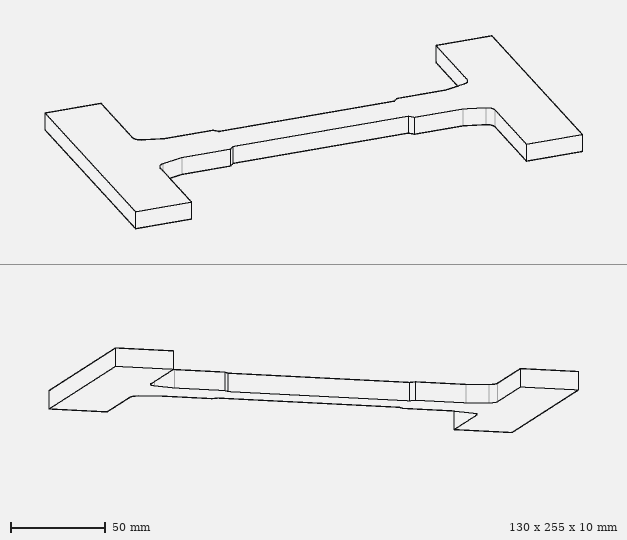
import cadquery as cq
import math

total_length = 255.0
flange_width = 130.0
thickness = 10.0

flange_depth = 32.0
root_radius = 4.5

gauge_length = 100.0
gauge_width = 20.0
shank_width = 25.0
shoulder_length = 2.5
flare_start = 80.2
flare_angle = 15.0

half_length = total_length / 2
flange_inner = half_length - flange_depth
shoulder_end = gauge_length / 2 + shoulder_length
flare_length = flange_inner - flare_start
root_half_width = shank_width / 2 + flare_length * math.tan(math.radians(flare_angle))


def quarter_profile():
    """Right-hand edge from mid-length up to the outer corner of the flange."""
    return [
        (gauge_width / 2, gauge_length / 2),
        (shank_width / 2, shoulder_end),
        (shank_width / 2, flare_start),
        (root_half_width, flange_inner),
        (flange_width / 2, flange_inner),
        (flange_width / 2, half_length),
    ]


def make_plate():
    """Symmetric I-shaped plate, with the flared web meeting the flanges at sharp corners."""
    upper_right = quarter_profile()
    upper_left = [(-x, y) for x, y in reversed(upper_right)]
    lower_left = [(-x, -y) for x, y in upper_right]
    lower_right = [(x, -y) for x, y in reversed(upper_right)]
    outline = upper_right + upper_left + lower_left + lower_right
    return cq.Workplane("XY").polyline(outline).close().extrude(thickness)


def round_flange_roots(plate):
    """Fillet the four corners where the flared web meets the flanges."""
    for side in (-1, 1):
        for end in (-1, 1):
            root = (side * root_half_width, end * flange_inner, thickness / 2)
            plate = plate.edges(cq.selectors.NearestToPointSelector(root)).fillet(root_radius)
    return plate


result = round_flange_roots(make_plate())